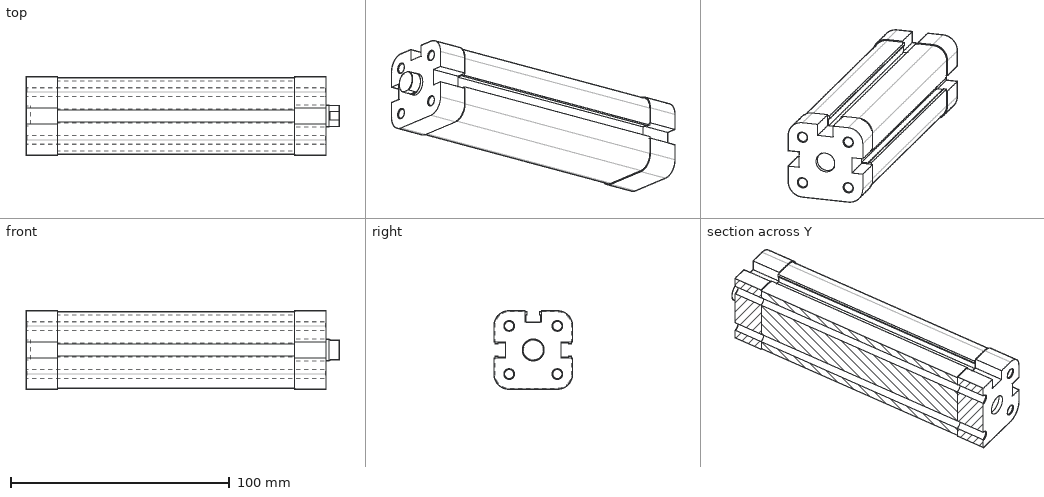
import cadquery as cq

overall_length = 143.0
rod_projection = 6.0
cap_length = 14.4
front_face = overall_length - rod_projection
front_cap_start = front_face - cap_length
profile_length = front_cap_start - cap_length

cap_width = 36.0
profile_inset = 0.5
profile_width = cap_width - 2 * profile_inset
screw_offset = 11.0
cap_corner_radius = cap_width / 2 - screw_offset
profile_corner_radius = profile_width / 2 - screw_offset

slot_floor = 12.7
cap_slot_width = 7.4
profile_slot_width = 6.4
slot_mouth_width = 5.6
slot_lip_thickness = 1.5
slot_angles = (0, 90, -90)

screw_diameter = 4.2
screw_chamfer = 0.35

recess_diameter = 9.0
recess_depth = 2.0

rod_diameter = 10.0
rod_tip_diameter = 9.8
rod_tip_length = 4.7
rod_chamfer = 0.2
flat_length = 4.2
width_across_flats = 9.0


def rounded_bar(start, length, width, corner_radius):
    """Square bar along X with rounded long edges."""
    bar = cq.Workplane("YZ", origin=(start, 0, 0)).rect(width, width).extrude(length)
    return bar.edges("|X").fillet(corner_radius)


def slot_cutter(start, length, width, bottom, top):
    """Straight channels in the top and both flanks, between two distances from the axis."""
    channel = (
        cq.Workplane("YZ", origin=(start, 0, 0))
        .center(0, (bottom + top) / 2)
        .rect(width, top - bottom)
        .extrude(length)
    )
    cutter = cq.Workplane("YZ")
    for angle in slot_angles:
        cutter = cutter.add(channel.rotate((0, 0, 0), (1, 0, 0), angle))
    return cutter.combine()


def screw_holes(start, length):
    """Four corner cylinders that cut the screw holes."""
    return (
        cq.Workplane("YZ", origin=(start, 0, 0))
        .rect(2 * screw_offset, 2 * screw_offset, forConstruction=True)
        .vertices()
        .circle(screw_diameter / 2)
        .extrude(length)
    )


def make_cap(start, outer_face):
    """End cap; outer_face selects the free end, where the screw holes are chamfered."""
    cap = rounded_bar(start, cap_length, cap_width, cap_corner_radius)
    cap = cap.cut(screw_holes(start, cap_length))
    screw_hole_rims = cq.selectors.RadiusNthSelector(0)
    cap = cap.faces(outer_face).edges("%CIRCLE").edges(screw_hole_rims).chamfer(screw_chamfer)
    return cap.cut(slot_cutter(start, cap_length, cap_slot_width, slot_floor, cap_width / 2))


def make_rear_cap():
    recess = cq.Workplane("YZ").circle(recess_diameter / 2).extrude(recess_depth)
    return make_cap(0, "<X").cut(recess)


def make_front_cap():
    """Front cap with a through bore that guides the rod."""
    bore = cq.Workplane("YZ", origin=(front_cap_start, 0, 0)).circle(rod_diameter / 2).extrude(cap_length)
    return make_cap(front_cap_start, ">X").cut(bore)


def make_profile():
    """Barrel extrusion whose slots narrow to a lipped mouth."""
    outside = profile_width / 2
    lip_bottom = outside - slot_lip_thickness
    profile = rounded_bar(cap_length, profile_length, profile_width, profile_corner_radius)
    profile = profile.cut(screw_holes(cap_length, profile_length))
    profile = profile.cut(slot_cutter(cap_length, profile_length, profile_slot_width, slot_floor, lip_bottom))
    return profile.cut(slot_cutter(cap_length, profile_length, slot_mouth_width, lip_bottom, outside))


def make_rod():
    """Rod through the front cap, with a slightly thinner tip that has wrench flats above and below."""
    tip_start = overall_length - rod_tip_length
    shank = (
        cq.Workplane("YZ", origin=(front_cap_start, 0, 0))
        .circle(rod_diameter / 2)
        .extrude(tip_start - front_cap_start)
    )
    tip = (
        cq.Workplane("YZ", origin=(tip_start, 0, 0))
        .circle(rod_tip_diameter / 2)
        .extrude(rod_tip_length)
        .faces(">X")
        .chamfer(rod_chamfer)
    )
    rod = shank.union(tip)
    flat_depth = (rod_diameter - width_across_flats) / 2
    for side in (1, -1):
        flat_cutter = (
            cq.Workplane("YZ", origin=(overall_length - flat_length, 0, 0))
            .center(0, side * (width_across_flats + flat_depth) / 2)
            .rect(rod_diameter, flat_depth)
            .extrude(flat_length)
        )
        rod = rod.cut(flat_cutter)
    return rod


rear_cap = make_rear_cap()
profile = make_profile()
front_cap = make_front_cap()
rod = make_rod()

result = cq.Compound.makeCompound([rear_cap.val(), profile.val(), front_cap.val(), rod.val()])